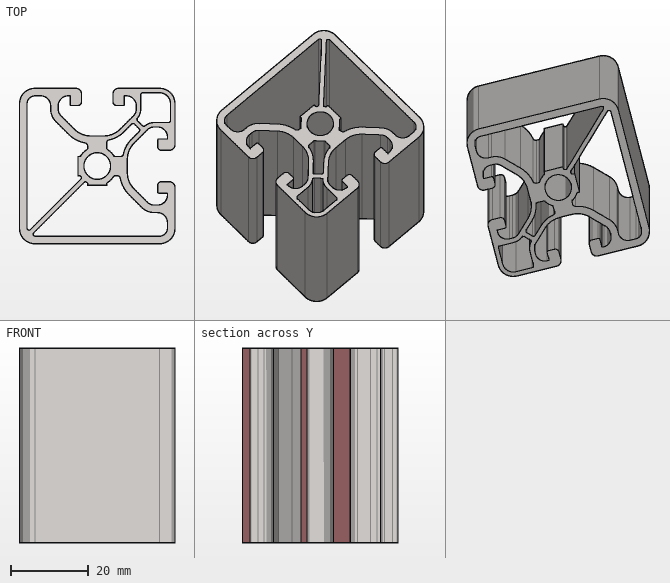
import cadquery as cq
import math


side = 40.0
length = 50.0
corner_radius = 4.0

outer_wall = 2.0
thin_outer_wall = 1.2
web_wall = 1.2

mouth_half_width = 4.0
lip_width = 3.0
lip_depth = 4.5
lip_radius = 1.0
mouth_radius = 1.5
lip_tip_radius = 0.4
slot_half_width = 10.0
slot_floor = 7.75
slot_slope_rise = 3.6
slot_side_radius = 2.5
slot_floor_radius = 6.0

bore_diameter = 6.8
hub_radius = 5.0
arm_half_width = 2.5

pocket_end = 22.0
pocket_corner_radius = 0.5

arm_root_radius = 0.75
rib_root_radius = 0.5
hub_root_radius = 0.3

chamber_shoulder_radius = 2.5

half = side / 2
slot_ceiling = half - outer_wall
lip_inner = mouth_half_width + lip_width
lip_bottom = half - lip_depth
web_pocket_end = pocket_end - web_wall * math.sqrt(2)
diagonal_plane = cq.Vector(1, -1, 0)


def prism(corners):
    """Extrude a closed outline of (x, y, radius) corners, rounding each with a tangent arc."""
    rounds = []
    for i, (x, y, radius) in enumerate(corners):
        corner = cq.Vector(x, y, 0)
        before = corners[i - 1]
        after = corners[(i + 1) % len(corners)]
        to_before = (cq.Vector(before[0], before[1], 0) - corner).normalized()
        to_after = (cq.Vector(after[0], after[1], 0) - corner).normalized()
        half_angle = to_before.getAngle(to_after) / 2
        setback = radius / math.tan(half_angle)
        bisector = (to_before + to_after).normalized()
        middle = corner + bisector * (radius / math.sin(half_angle) - radius)
        rounds.append((corner + to_before * setback, middle, corner + to_after * setback))

    outline = cq.Workplane("XY").moveTo(*rounds[0][2].toTuple()[:2])
    for (start, middle, end), corner in zip(rounds[1:] + rounds[:1], corners[1:] + corners[:1]):
        outline = outline.lineTo(start.x, start.y)
        if corner[2] > 0:
            outline = outline.threePointArc((middle.x, middle.y), (end.x, end.y))
    return outline.close().extrude(length)


def slot_wall(thickness):
    """Side and floor corners of the right slot wall, moved outward by a wall thickness."""
    rise = slot_slope_rise - thickness * math.sqrt(2)
    wall_x = slot_half_width + thickness
    floor_y = slot_floor - thickness
    side_corner = (wall_x, wall_x + rise, slot_side_radius + thickness)
    floor_corner = (floor_y - rise, floor_y, slot_floor_radius + thickness)
    return side_corner, floor_corner


def mirror_x(corners):
    """Mirror corners across the Y axis, in reverse order."""
    return [(-x, y, radius) for x, y, radius in reversed(corners)]


def mirror_diagonal(corners):
    """Mirror corners across the line y = x, in reverse order."""
    return [(y, x, radius) for x, y, radius in reversed(corners)]


def fillet_near(solid, x, y, radius):
    """Round the upright edge nearest to (x, y)."""
    edge = cq.selectors.NearestToPointSelector((x, y, length / 2))
    return solid.edges("|Z").edges(edge).fillet(radius)


def make_arm(size_x, size_y, centered_x=True, centered_y=True):
    return cq.Workplane("XY").box(size_x, size_y, length, centered=(centered_x, centered_y, False))


def make_hub():
    """Round hub crossed by two square-ended bars, with longer arms toward the two slots."""
    width = 2 * arm_half_width
    hub = cq.Workplane("XY").circle(hub_radius).extrude(length)
    hub = hub.union(make_arm(2 * hub_radius, width))
    hub = hub.union(make_arm(width, 2 * hub_radius))
    hub = hub.union(make_arm(half, width, centered_x=False))
    hub = hub.union(make_arm(width, half, centered_y=False))

    root = math.sqrt(hub_radius**2 - arm_half_width**2)
    for sign_x in (-1, 1):
        for sign_y in (-1, 1):
            hub = fillet_near(hub, sign_x * root, sign_y * arm_half_width, hub_root_radius)
            hub = fillet_near(hub, sign_x * arm_half_width, sign_y * root, hub_root_radius)
    return hub


def make_slot():
    """T-slot cavity opening through the +Y face."""
    right = [
        (mouth_half_width, half, 0),
        (mouth_half_width, lip_bottom, lip_radius),
        (lip_inner, lip_bottom, lip_tip_radius),
        (lip_inner, slot_ceiling, 0),
        (slot_half_width, slot_ceiling, slot_side_radius),
        *slot_wall(0),
    ]
    return prism(right + mirror_x(right))


def make_chamber(hub):
    """Large closed chamber between the -X side, the +Y slot and the diagonal rib."""
    rib_offset = web_wall / math.sqrt(2)
    side_corner, floor_corner = slot_wall(outer_wall)
    floor_y = floor_corner[1]
    right = [
        (0, rib_offset, 0),
        (0, floor_y, 0),
        floor_corner,
        side_corner,
        (side_corner[0], slot_ceiling, chamber_shoulder_radius),
        (slot_ceiling, slot_ceiling, corner_radius - outer_wall),
        (slot_ceiling, rib_offset - slot_ceiling, rib_root_radius),
    ]
    chamber = prism(mirror_x(right)).cut(hub)
    chamber = fillet_near(chamber, -arm_half_width, floor_y, arm_root_radius)

    rib_root_x = -rib_offset / 2 - math.sqrt(hub_radius**2 / 2 - rib_offset**2 / 4)
    return fillet_near(chamber, rib_root_x, rib_root_x + rib_offset, rib_root_radius)


def make_corner_pocket():
    """Closed pocket in the +X +Y corner, outside the cross rib."""
    side_corner, _ = slot_wall(web_wall)
    outer = half - thin_outer_wall
    end_x = (pocket_end - side_corner[1] + side_corner[0]) / 2
    upper = [
        (end_x, pocket_end - end_x, pocket_corner_radius),
        side_corner,
        (side_corner[0], outer, pocket_corner_radius),
    ]
    peak = [(outer, outer, corner_radius - thin_outer_wall)]
    return prism(upper + peak + mirror_diagonal(upper))


def make_web_pocket(hub):
    """Closed pocket between the two slots, from the hub out to the cross rib."""
    side_corner, floor_corner = slot_wall(web_wall)
    end_x = (web_pocket_end - side_corner[1] + side_corner[0]) / 2
    upper = [
        (0, floor_corner[1], 0),
        floor_corner,
        (end_x, web_pocket_end - end_x, pocket_corner_radius),
    ]
    pocket = prism([(0, 0, 0)] + upper + mirror_diagonal(upper)).cut(hub)
    floor_y = floor_corner[1]
    pocket = fillet_near(pocket, arm_half_width, floor_y, pocket_corner_radius)
    return fillet_near(pocket, floor_y, arm_half_width, pocket_corner_radius)


hub = make_hub()

result = cq.Workplane("XY").rect(side, side).extrude(length).edges("|Z").fillet(corner_radius)
for void in (make_slot(), make_chamber(hub)):
    result = result.cut(void).cut(void.mirror(diagonal_plane))
result = result.cut(make_corner_pocket()).cut(make_web_pocket(hub))
result = result.cut(cq.Workplane("XY").circle(bore_diameter / 2).extrude(length))

for mouth_edge in (-mouth_half_width, mouth_half_width):
    result = fillet_near(result, mouth_edge, half, mouth_radius)
    result = fillet_near(result, half, mouth_edge, mouth_radius)